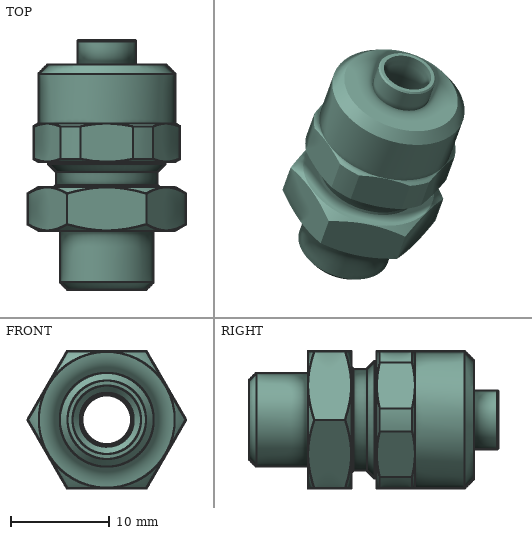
import cadquery as cq
import math

TOTAL_LENGTH = 25.5
ACROSS_FLATS = 14.0
CHAMFER_ANGLE = math.radians(30)

THREAD_RADIUS = 4.8
THREAD_CHAMFER = 0.8

HEX_START = 6.02
HEX_END = 10.48
HEX_FACE_RADIUS = 6.94

NECK_RADIUS = 5.2
NECK_FOOT_RADIUS = 5.35
NECK_START = 10.68
FLARE_START = 12.04
FLARE_END = 12.83
COLLAR_RADIUS = NECK_RADIUS + FLARE_END - FLARE_START

NUT_START = 13.03
NUT_HEX_END = 16.98
NUT_CORNER_RADIUS = 7.5
NUT_END = 23.0
NUT_RADIUS = ACROSS_FLATS / 2
NUT_CHAMFER = 1.0

TUBE_RADIUS = 3.0
TUBE_CHAMFER = 0.15

COUNTERSINK_RADIUS = 3.5
ENTRY_BORE_RADIUS = 2.75
TUBE_BORE_RADIUS = 2.5
COUNTERSINK_DEPTH = COUNTERSINK_RADIUS - ENTRY_BORE_RADIUS
ENTRY_BORE_END = HEX_END


def revolve_about_y(points):
    """Turn a closed (radius, Y) outline about the Y axis."""
    return cq.Workplane("XY").polyline(points).close().revolve(360, (0, 0, 0), (0, 1, 0))


def chamfered_hexagon(start, end, corner_radius, face_radius):
    """Hexagon along Y, flats facing +Z and -Z, corners turned and chamfered."""
    across_corners = ACROSS_FLATS / math.cos(math.pi / 6)
    prism = (
        cq.Workplane("XZ", origin=(0, start, 0))
        .polygon(6, across_corners)
        .extrude(start - end)
    )
    drop = (corner_radius - face_radius) * math.tan(CHAMFER_ANGLE)
    envelope = revolve_about_y([
        (0, start),
        (face_radius, start),
        (corner_radius, start + drop),
        (corner_radius, end - drop),
        (face_radius, end),
        (0, end),
    ])
    return prism.intersect(envelope)


turned_core = revolve_about_y([
    (0, 0),
    (THREAD_RADIUS - THREAD_CHAMFER, 0),
    (THREAD_RADIUS, THREAD_CHAMFER),
    (THREAD_RADIUS, HEX_END),
    (NECK_FOOT_RADIUS, HEX_END),
    (NECK_RADIUS, NECK_START),
    (NECK_RADIUS, FLARE_START),
    (COLLAR_RADIUS, FLARE_END),
    (COLLAR_RADIUS, NUT_HEX_END),
    (NUT_RADIUS, NUT_HEX_END),
    (NUT_RADIUS, NUT_END - NUT_CHAMFER),
    (NUT_RADIUS - NUT_CHAMFER, NUT_END),
    (TUBE_RADIUS, NUT_END),
    (TUBE_RADIUS, TOTAL_LENGTH - TUBE_CHAMFER),
    (TUBE_RADIUS - TUBE_CHAMFER, TOTAL_LENGTH),
    (0, TOTAL_LENGTH),
])

body_corner_radius = NUT_RADIUS / math.cos(math.pi / 6)
body_hexagon = chamfered_hexagon(HEX_START, HEX_END, body_corner_radius, HEX_FACE_RADIUS)
nut_hexagon = chamfered_hexagon(NUT_START, NUT_HEX_END, NUT_CORNER_RADIUS, HEX_FACE_RADIUS)

passage = revolve_about_y([
    (0, 0),
    (COUNTERSINK_RADIUS, 0),
    (ENTRY_BORE_RADIUS, COUNTERSINK_DEPTH),
    (ENTRY_BORE_RADIUS, ENTRY_BORE_END),
    (TUBE_BORE_RADIUS, ENTRY_BORE_END),
    (TUBE_BORE_RADIUS, TOTAL_LENGTH),
    (0, TOTAL_LENGTH),
])

result = turned_core.union(body_hexagon).union(nut_hexagon).cut(passage)